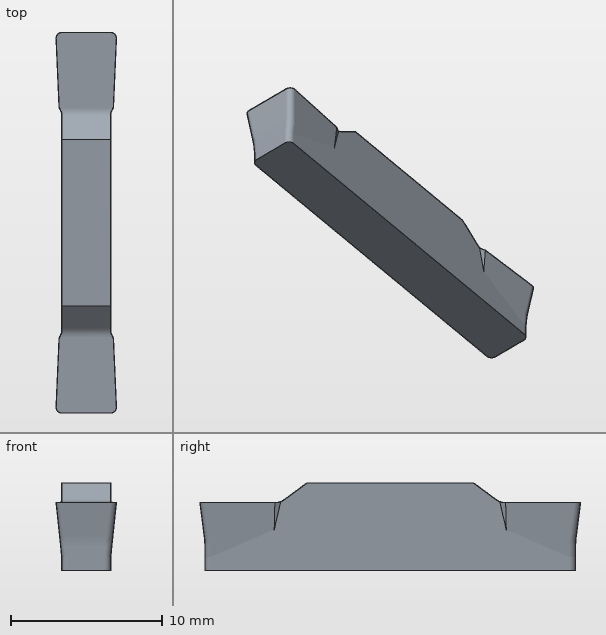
import cadquery as cq
import math

length = 25.15
head_width = 4.0
height = 5.78
body_width = 3.25
corner_radius = 0.4

deck_height = 4.5
head_inner_y = 7.62
head_root_y = 7.25
side_relief = 2.5
flank_draft = 5.7
end_relief = 7.3
relief_bottom = 2.19
blend_bottom = 1.63

ridge_half_length = 5.5
ramp_angle = 36.4
ramp_fillet = 0.9

half_length = length / 2
relief = math.radians(end_relief)
ramp = math.radians(ramp_angle)
blend_radius = (relief_bottom - blend_bottom) / math.sin(relief)
relief_y = half_length - (deck_height - relief_bottom) * math.tan(relief)
foot_y = relief_y - blend_radius * (1 - math.cos(relief))

ramp_foot_y = ridge_half_length + (height - deck_height) / math.tan(ramp)
tangent_length = ramp_fillet * math.tan(ramp / 2)
arc_start_y = ramp_foot_y + tangent_length
arc_end_y = ramp_foot_y - tangent_length * math.cos(ramp)
arc_end_z = deck_height + tangent_length * math.sin(ramp)


def arc_point(center_y, center_z, radius, angle):
    return (center_y + radius * math.cos(angle), center_z + radius * math.sin(angle))


def side_profile():
    """Half of the side outline, extruded across the full head width."""
    ramp_mid = arc_point(arc_start_y, deck_height + ramp_fillet, ramp_fillet, -math.pi / 2 - ramp / 2)
    blend_mid = arc_point(foot_y + blend_radius, blend_bottom, blend_radius, math.pi - relief / 2)
    return (
        cq.Workplane("YZ")
        .moveTo(0, 0)
        .lineTo(foot_y, 0)
        .lineTo(foot_y, blend_bottom)
        .threePointArc(blend_mid, (relief_y, relief_bottom))
        .lineTo(half_length, deck_height)
        .lineTo(arc_start_y, deck_height)
        .threePointArc(ramp_mid, (arc_end_y, arc_end_z))
        .lineTo(ridge_half_length, height)
        .lineTo(0, height)
        .close()
        .extrude(head_width, both=True)
    )


def head_envelope():
    """Flanks of one head: a plan outline at deck level, drafted inward going down."""
    taper = math.tan(math.radians(side_relief))
    half_body = body_width / 2
    half_inner = head_width / 2 - (half_length - corner_radius - head_inner_y) * taper
    outer_y = half_length + corner_radius
    half_outer = half_inner + (outer_y - head_inner_y) * taper
    plan = [
        (half_body, head_root_y),
        (half_inner, head_inner_y),
        (half_outer, outer_y),
        (-half_outer, outer_y),
        (-half_inner, head_inner_y),
        (-half_body, head_root_y),
    ]
    deck_plane = cq.Workplane("XY", origin=(0, 0, deck_height))
    below = deck_plane.polyline(plan).close().extrude(-deck_height, taper=flank_draft)
    above = deck_plane.polyline(plan).close().extrude(height - deck_height)
    return below.union(above)


def half_insert():
    body = cq.Workplane("XY").box(body_width, length, height, centered=(True, True, False))
    return side_profile().intersect(body.union(head_envelope()))


def end_corner_edges(solid):
    """Steep edges where the flanks meet the end face."""
    nearest_y = foot_y - corner_radius / 2
    edges = []
    for edge in solid.edges().vals():
        box = edge.BoundingBox()
        if box.ymin > nearest_y and box.zlen > box.xlen:
            edges.append(edge)
    return solid.newObject(edges)


half = end_corner_edges(half_insert()).fillet(corner_radius)
result = half.union(half.mirror("XZ"))